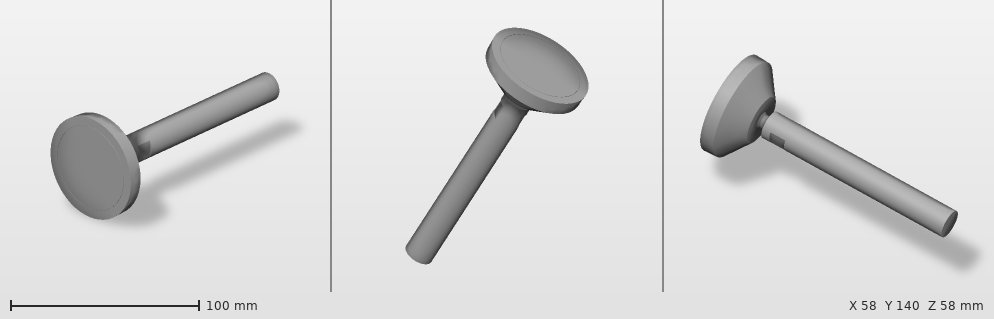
import cadquery as cq
import math

total_length = 140.0

foot_diameter = 58.0
rim_top_diameter = 57.1
foot_top_diameter = 28.0
rim_height = 8.1
foot_height = 19.9

groove_outer_diameter = 48.0
groove_inner_diameter = 47.5
groove_depth = 0.3

shaft_diameter = 16.0
shaft_start = 25.0
neck_diameter = 7.8
neck_start = 21.1
ball_diameter = 11.8
flats_width = 12.9
flats_start = 30.0
flats_length = 9.5

ball_radius = ball_diameter / 2
neck_radius = neck_diameter / 2
ball_center = neck_start - math.sqrt(ball_radius**2 - neck_radius**2)


def disc(diameter, start, end):
    """Cylinder on the Y axis from start to end."""
    return cq.Workplane("XZ", origin=(0, start, 0)).circle(diameter / 2).extrude(start - end)


def make_ball():
    return cq.Workplane("XY").sphere(ball_radius).translate((0, ball_center, 0))


def make_foot():
    """Tapered rim and conical top, with a ball socket and a ring groove in the sole."""
    profile = [
        (0, 0),
        (foot_diameter / 2, 0),
        (rim_top_diameter / 2, rim_height),
        (foot_top_diameter / 2, foot_height),
        (0, foot_height),
    ]
    body = cq.Workplane("XY").polyline(profile).close().revolve(360, (0, 0, 0), (0, 1, 0))
    groove = disc(groove_outer_diameter, 0, groove_depth).cut(disc(groove_inner_diameter, 0, groove_depth))
    return body.cut(groove).cut(make_ball())


def make_spindle():
    """Shaft with two wrench flats, narrow neck and ball end."""
    shaft = disc(shaft_diameter, shaft_start, total_length)
    flats_end = flats_start + flats_length
    flats_center = (flats_start + flats_end) / 2
    between_flats = cq.Workplane("XY").box(flats_width, flats_length, shaft_diameter)
    between_flats = between_flats.translate((0, flats_center, 0))
    shaft = shaft.cut(disc(shaft_diameter, flats_start, flats_end).cut(between_flats))
    neck = disc(neck_diameter, ball_center, shaft_start)
    return shaft.union(neck).union(make_ball())


foot = make_foot()
spindle = make_spindle()

result = cq.Compound.makeCompound([foot.solids().val(), spindle.solids().val()])